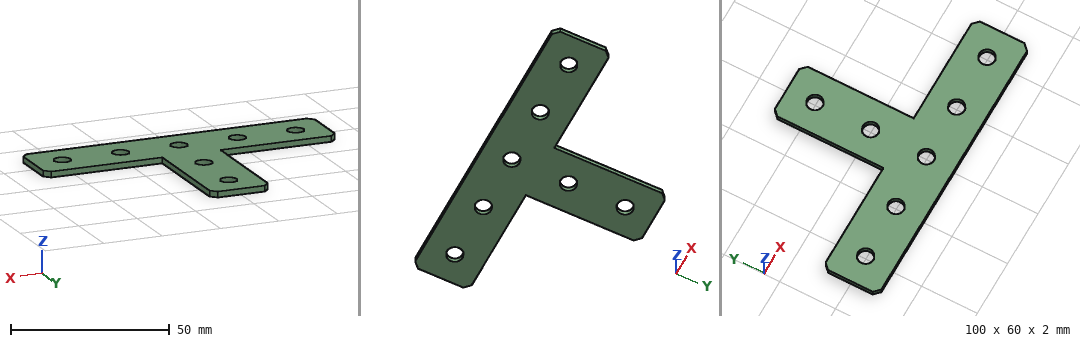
import cadquery as cq

pitch = 20.0
thickness = 2.0
bar_holes = 5
stem_holes = 2
hole_diameter = 5.5
corner_chamfer = 2.0

bar_length = bar_holes * pitch
stem_reach = (stem_holes + 0.5) * pitch

bar = cq.Workplane("XY").box(bar_length, pitch, thickness)
bar = bar.edges("|Z").chamfer(corner_chamfer)

stem = cq.Workplane("XY").box(pitch, stem_reach, thickness)
stem = stem.edges("|Z and >Y").chamfer(corner_chamfer)
stem = stem.translate((0, stem_reach / 2, 0))

plate = bar.union(stem)

bar_points = [((i - (bar_holes - 1) / 2) * pitch, 0) for i in range(bar_holes)]
stem_points = [(0, (i + 1) * pitch) for i in range(stem_holes)]

result = (
    plate.faces(">Z").workplane(origin=(0, 0, 0))
    .pushPoints(bar_points + stem_points)
    .hole(hole_diameter)
)